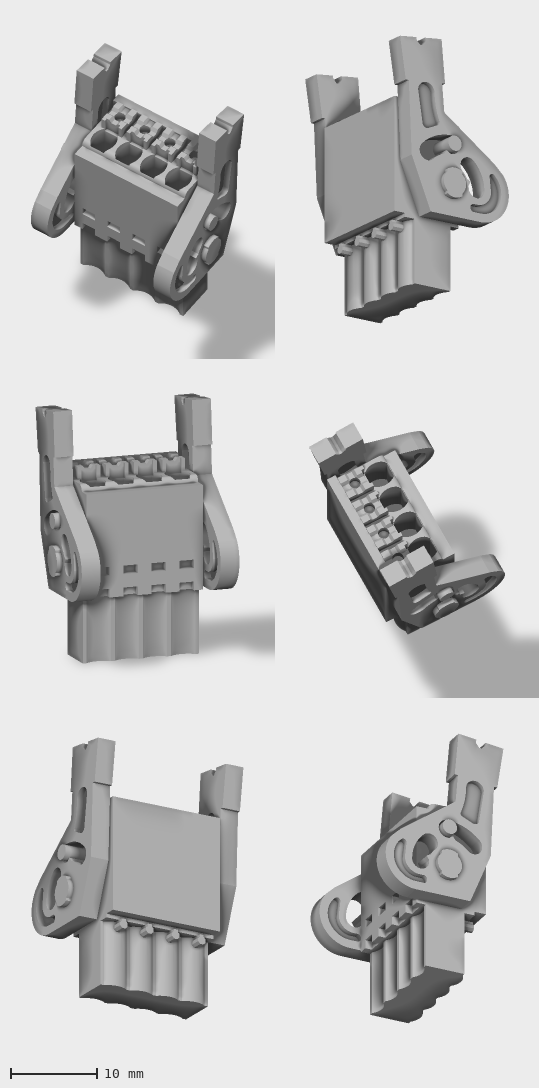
import cadquery as cq
import math


POLE_COUNT = 4
POLE_PITCH = 3.5
POLE_X = [(i - (POLE_COUNT - 1) / 2) * POLE_PITCH for i in range(POLE_COUNT)]

HOUSING_LENGTH = 14.45
HOUSING_FRONT_Y = -2.72
HOUSING_BACK_Y = 6.3
BLOCK_BOTTOM_Z = 7.9
BACK_BOTTOM_Z = 8.37
BACK_BOTTOM_STEP_Y = 4.82
FRONT_LEDGE_Z = 20.4
PLATEAU_Z = 21.2
BACK_WALL_Z = 22.45
BACK_WALL_FACE_Y = 5.18
SHOULDER_Y = -1.2
SHOULDER_RADIUS = PLATEAU_Z - FRONT_LEDGE_Z

PLUG_FRONT_Y = -1.54
PLUG_BACK_Y = 3.47
LOBE_WIDTH = 3.0
LOBE_DEPTH = 0.56

LUG_SIZE = 1.0
LUG_CORNER = 0.3
LUG_CENTER_Z = 7.2
LUG_BACK_Y = 5.47
LUG_STEM_WIDTH = 0.5

WINDOW_WIDTH = 1.8
WINDOW_BOTTOM_Z = 10.52
WINDOW_HEIGHT = 1.05
NOTCH_TOP_Z = 8.95
NOTCH_DEPTH = 0.85
WINDOW_DEPTH = PLUG_FRONT_Y - HOUSING_FRONT_Y

BUTTON_WIDTH = 2.82
BUTTON_OFFSET_X = 0.08
BUTTON_FRONT_Y = 1.88
BUTTON_BACK_Y = BACK_WALL_FACE_Y
BUTTON_BOTTOM_Z = 15.0
BUTTON_TOP_Z = 22.64
CROSS_CENTER_Y = 3.61
CROSS_TOP_WIDTH = 1.26
CROSS_BOTTOM_WIDTH = 0.62
CROSS_DEPTH = 0.4
BUTTON_HOLE_RADIUS = 0.66
BUTTON_HOLE_DEPTH = 1.5
WIRE_HOLE_WIDTH = 2.97
WIRE_HOLE_END_WIDTH = 1.8
WIRE_HOLE_FRONT_Y = -1.03
ENTRY_SLOT_WIDTH = 1.9
ENTRY_SLOT_BACK_Y = 2.28
ENTRY_SLOT_FLOOR_Z = 20.86

PIN_END_X = 10.45
PIVOT_Z = 12.13
PIVOT_RADIUS = 1.57
PIVOT_KEY_RADIUS = 1.83
PIVOT_KEY_WIDTH = 2.06
COLLAR_HEIGHT = 2.86
STOP_PIN_RADIUS = 0.93
STOP_PIN_ORBIT = 4.8

LEVER_BACK_EDGE = [(2.97, 8.2), (5.64, 14.67), (6.05, 23.72), (6.48, 23.72)]
HANDLE_BACK_CORNER = (7.28, 28.92)
HANDLE_NOTCH = [(4.97, 29.18), (4.92, 28.82), (4.47, 28.34), (4.14, 28.34), (3.68, 28.92), (3.78, 29.33)]
HANDLE_FRONT_CORNER = (1.44, 29.59)
LEVER_FRONT_EDGE = [(0.95, 24.22), (1.36, 24.18), (1.06, 20.7)]
LEVER_SLOPE_END = (-6.0, 15.67)
LEVER_INNER_X = 7.44
LEVER_OUTER_X = 9.79
LEVER_THICKNESS = LEVER_OUTER_X - LEVER_INNER_X
RECESS_DEPTH = 0.8
ARM_RECESS_TOP_BACK = (4.74, 22.87)
ARM_RECESS_TOP = (3.58, 23.93)
ARM_RECESS_TOP_FRONT = (2.43, 22.87)
ARM_RECESS_FRONT_BOW = (2.25, 21.1)
ARM_RECESS_FRONT_CORNER = [(1.92, 18.98), (1.72, 19.2), (1.76, 19.5)]
ARM_RECESS_BACK_CORNER = [(4.10, 18.75), (3.75, 18.36), (3.28, 18.37)]
CAM_CENTER_Y = -4.09
CAM_BOTTOM_Z = LEVER_BACK_EDGE[0][1]
CAM_RADIUS = PIVOT_Z - CAM_BOTTOM_Z
CAM_START_Z = 14.55
CAM_RECESS_OUTER_RADIUS = 2.87
CAM_RECESS_INNER_RADIUS = 1.88
CAM_RECESS_INNER_CENTER_Y = -3.64
CAM_RECESS_LOWER_TIP_Y = -2.96
CAM_RECESS_LOWER_END_Y = -2.62
CAM_RECESS_UPPER_TIP_ANGLE = 131.0
CAM_RECESS_UPPER_END = (-5.65, 14.4)
CAM_RECESS_UPPER_INNER = (-5.31, 13.98)
GUIDE_SLOT_SPAN = 45.0
GUIDE_SLOT_HALF_WIDTH = 1.13
SPRING_SLOT_ORBIT = 3.48
SPRING_SLOT_ANGLES = (-90.0, -42.0)
SPRING_SLOT_HALF_WIDTH = 1.1
TOOTH_HEIGHT = 0.4
TOOTH_HALF_BASE = 0.42
TOOTH_DISTANCE = 0.65


def box(x_range, y_range, z_range):
    """Box between the given X, Y and Z limits."""
    corner = (x_range[0], y_range[0], z_range[0])
    lengths = [high - low for low, high in (x_range, y_range, z_range)]
    return cq.Workplane("XY").box(*lengths, centered=False).translate(corner)


def span(center, width):
    """Limits of a stretch of the given width about its centre."""
    return (center - width / 2, center + width / 2)


def around_pivot(radius, angle):
    """(Y, Z) point about the pivot; 0 degrees is straight up and positive angles lean to +Y."""
    turn = math.radians(angle)
    return (radius * math.sin(turn), PIVOT_Z + radius * math.cos(turn))


def on_circle(center, radius, angle):
    """Point on a circle, with the angle in degrees from the first axis."""
    turn = math.radians(angle)
    return (center[0] + radius * math.cos(turn), center[1] + radius * math.sin(turn))


def housing_block():
    """Upper block with the shoulder in front, the plateau and the raised back wall."""
    shoulder_middle = on_circle((SHOULDER_Y + SHOULDER_RADIUS, FRONT_LEDGE_Z), SHOULDER_RADIUS, 135)
    return (
        cq.Workplane("YZ", origin=(-HOUSING_LENGTH / 2, 0, 0))
        .moveTo(HOUSING_FRONT_Y, BLOCK_BOTTOM_Z)
        .lineTo(HOUSING_FRONT_Y, FRONT_LEDGE_Z)
        .lineTo(SHOULDER_Y, FRONT_LEDGE_Z)
        .threePointArc(shoulder_middle, (SHOULDER_Y + SHOULDER_RADIUS, PLATEAU_Z))
        .lineTo(BACK_WALL_FACE_Y, PLATEAU_Z)
        .lineTo(BACK_WALL_FACE_Y, BACK_WALL_Z)
        .lineTo(HOUSING_BACK_Y, BACK_WALL_Z)
        .lineTo(HOUSING_BACK_Y, BACK_BOTTOM_Z)
        .lineTo(BACK_BOTTOM_STEP_Y, BACK_BOTTOM_Z)
        .lineTo(BACK_BOTTOM_STEP_Y, BLOCK_BOTTOM_Z)
        .close()
        .extrude(HOUSING_LENGTH)
    )


def plug_section():
    """Lower section: one hollow in front and one matching lobe at the back for each pole."""
    half_length = HOUSING_LENGTH / 2
    outline = cq.Workplane("XY").moveTo(-half_length, PLUG_FRONT_Y)
    for x in POLE_X:
        outline = outline.lineTo(x - LOBE_WIDTH / 2, PLUG_FRONT_Y).threePointArc(
            (x, PLUG_FRONT_Y + LOBE_DEPTH), (x + LOBE_WIDTH / 2, PLUG_FRONT_Y)
        )
    outline = outline.lineTo(half_length, PLUG_FRONT_Y).lineTo(half_length, PLUG_BACK_Y)
    for x in reversed(POLE_X):
        outline = outline.lineTo(x + LOBE_WIDTH / 2, PLUG_BACK_Y).threePointArc(
            (x, PLUG_BACK_Y + LOBE_DEPTH), (x - LOBE_WIDTH / 2, PLUG_BACK_Y)
        )
    return outline.lineTo(-half_length, PLUG_BACK_Y).close().extrude(BLOCK_BOTTOM_Z)


def coding_lug(x):
    """Bar with chamfered corners along Y, hung from the block by a narrow stem."""
    length_range = (PLUG_BACK_Y, LUG_BACK_Y)
    bar = box(span(x, LUG_SIZE), length_range, span(LUG_CENTER_Z, LUG_SIZE))
    bar = bar.edges("|Y").chamfer(LUG_CORNER)
    stem = box(span(x, LUG_STEM_WIDTH), length_range, (LUG_CENTER_Z, BLOCK_BOTTOM_Z))
    return bar.union(stem)


def front_openings(x):
    """Rectangular window and the shallower notch below it in the front face."""
    window_depth_range = (HOUSING_FRONT_Y, HOUSING_FRONT_Y + WINDOW_DEPTH)
    notch_depth_range = (HOUSING_FRONT_Y, HOUSING_FRONT_Y + NOTCH_DEPTH)
    window_top = WINDOW_BOTTOM_Z + WINDOW_HEIGHT
    window = box(span(x, WINDOW_WIDTH), window_depth_range, (WINDOW_BOTTOM_Z, window_top))
    notch = box(span(x, WINDOW_WIDTH), notch_depth_range, (BLOCK_BOTTOM_Z, NOTCH_TOP_Z))
    return window.union(notch)


def button_block(x):
    """Plain button block, which is also the shape of its pocket in the housing."""
    center_x = x + BUTTON_OFFSET_X
    return box(
        span(center_x, BUTTON_WIDTH), (BUTTON_FRONT_Y, BUTTON_BACK_Y), (BUTTON_BOTTOM_Z, BUTTON_TOP_Z)
    )


def entry_slot(x):
    """Slot along Y, from inside the button front out through the shoulder of the housing."""
    return box(
        span(x + BUTTON_OFFSET_X, ENTRY_SLOT_WIDTH),
        (HOUSING_FRONT_Y, ENTRY_SLOT_BACK_Y),
        (ENTRY_SLOT_FLOOR_Z, BUTTON_TOP_Z),
    )


def wire_hole(x):
    """Barrel-shaped hole: bowed sides, flat in front and open to the button pocket at its back."""
    middle_y = (WIRE_HOLE_FRONT_Y + BUTTON_FRONT_Y) / 2
    half_width = WIRE_HOLE_WIDTH / 2
    half_end = WIRE_HOLE_END_WIDTH / 2
    return (
        cq.Workplane("XY", origin=(x, 0, BUTTON_BOTTOM_Z))
        .moveTo(-half_end, WIRE_HOLE_FRONT_Y)
        .lineTo(half_end, WIRE_HOLE_FRONT_Y)
        .threePointArc((half_width, middle_y), (half_end, BUTTON_FRONT_Y))
        .lineTo(-half_end, BUTTON_FRONT_Y)
        .threePointArc((-half_width, middle_y), (-half_end, WIRE_HOLE_FRONT_Y))
        .close()
        .extrude(PLATEAU_Z - BUTTON_BOTTOM_Z)
    )


def pivot_profile(start_x, length):
    """Pivot shape: a round shaft with wider keys above and below."""
    plane = cq.Workplane("YZ", origin=(start_x, 0, PIVOT_Z))
    shaft = plane.circle(PIVOT_RADIUS).extrude(length)
    key = plane.circle(PIVOT_KEY_RADIUS).extrude(length)
    key_limits = plane.rect(PIVOT_KEY_WIDTH, 2 * PIVOT_KEY_RADIUS).extrude(length)
    return shaft.union(key.intersect(key_limits))


def end_pins():
    """Collar, keyed pivot and stop pin on the +X end of the housing."""
    housing_end = HOUSING_LENGTH / 2
    collar_length = LEVER_INNER_X - housing_end
    pin_length = PIN_END_X - housing_end
    plane = cq.Workplane("YZ", origin=(housing_end, 0, PIVOT_Z))
    collar = plane.circle(PIVOT_RADIUS).extrude(collar_length)
    collar_flats = plane.rect(2 * PIVOT_RADIUS, COLLAR_HEIGHT).extrude(collar_length)
    pivot = pivot_profile(LEVER_INNER_X, PIN_END_X - LEVER_INNER_X)
    stop_pin = plane.center(0, STOP_PIN_ORBIT).circle(STOP_PIN_RADIUS).extrude(pin_length)
    return collar.intersect(collar_flats), pivot, stop_pin


def make_housing():
    housing = housing_block().union(plug_section())
    for x in POLE_X:
        housing = housing.union(coding_lug(x))
        housing = housing.cut(front_openings(x)).cut(button_block(x))
        housing = housing.cut(entry_slot(x)).cut(wire_hole(x))
    for pin in end_pins():
        housing = housing.union(pin).union(pin.mirror("YZ"))
    return housing


def cross_groove(plane_name, origin, length):
    """Trapezoidal groove in the button top, running along the normal of the named plane."""
    return (
        cq.Workplane(plane_name, origin=origin)
        .moveTo(-CROSS_TOP_WIDTH / 2, 0)
        .lineTo(-CROSS_BOTTOM_WIDTH / 2, -CROSS_DEPTH)
        .lineTo(CROSS_BOTTOM_WIDTH / 2, -CROSS_DEPTH)
        .lineTo(CROSS_TOP_WIDTH / 2, 0)
        .close()
        .extrude(length, both=True)
    )


def make_button(x):
    center_x = x + BUTTON_OFFSET_X
    cross_center = (center_x, CROSS_CENTER_Y, BUTTON_TOP_Z)
    groove_reach = BUTTON_BACK_Y - BUTTON_FRONT_Y
    hole = cq.Workplane("XY", origin=cross_center).circle(BUTTON_HOLE_RADIUS).extrude(-BUTTON_HOLE_DEPTH)
    return (
        button_block(x)
        .cut(cross_groove("XZ", cross_center, groove_reach))
        .cut(cross_groove("YZ", cross_center, groove_reach))
        .cut(hole)
        .cut(entry_slot(x))
    )


def lever_plate():
    """Lever blank: notched handle on top and a round cam at the front."""
    cam_rise = CAM_START_Z - PIVOT_Z
    cam_start_y = CAM_CENTER_Y - math.sqrt(CAM_RADIUS**2 - cam_rise**2)
    handle = [HANDLE_BACK_CORNER, *HANDLE_NOTCH, HANDLE_FRONT_CORNER]
    outline = [*LEVER_BACK_EDGE, *handle, *LEVER_FRONT_EDGE, LEVER_SLOPE_END]
    return (
        cq.Workplane("YZ", origin=(LEVER_INNER_X, 0, 0))
        .polyline(outline)
        .lineTo(cam_start_y, CAM_START_Z)
        .threePointArc((CAM_CENTER_Y - CAM_RADIUS, PIVOT_Z), (CAM_CENTER_Y, CAM_BOTTOM_Z))
        .close()
        .extrude(LEVER_THICKNESS)
    )


def detent_slot(orbit, half_width, start_angle, end_angle, tooth_angle):
    """Through slot curved about the pivot, with a pointed detent tooth on its inner side."""
    plane = cq.Workplane("YZ", origin=(LEVER_INNER_X, 0, 0))
    middle_angle = (start_angle + end_angle) / 2
    inner = orbit - half_width
    outer = orbit + half_width
    slot = (
        plane.moveTo(*around_pivot(inner, start_angle))
        .threePointArc(around_pivot(inner, middle_angle), around_pivot(inner, end_angle))
        .threePointArc(
            on_circle(around_pivot(orbit, end_angle), half_width, -end_angle),
            around_pivot(outer, end_angle),
        )
        .threePointArc(around_pivot(outer, middle_angle), around_pivot(outer, start_angle))
        .threePointArc(
            on_circle(around_pivot(orbit, start_angle), half_width, 180 - start_angle),
            around_pivot(inner, start_angle),
        )
        .close()
        .extrude(LEVER_THICKNESS)
    )
    half_base_angle = math.degrees(TOOTH_HALF_BASE / inner)
    tooth_root = inner - TOOTH_HEIGHT
    tooth = (
        plane.moveTo(*around_pivot(tooth_root, tooth_angle))
        .lineTo(*around_pivot(inner, tooth_angle - half_base_angle))
        .lineTo(*around_pivot(inner + TOOTH_HEIGHT, tooth_angle))
        .lineTo(*around_pivot(inner, tooth_angle + half_base_angle))
        .close()
        .extrude(LEVER_THICKNESS)
    )
    return slot.cut(tooth)


def guide_slot():
    """Slot that the stop pin runs in, with its tooth next to the pin."""
    inner = STOP_PIN_ORBIT - GUIDE_SLOT_HALF_WIDTH
    tooth_angle = math.degrees(TOOTH_DISTANCE / inner)
    return detent_slot(STOP_PIN_ORBIT, GUIDE_SLOT_HALF_WIDTH, 0, GUIDE_SLOT_SPAN, tooth_angle)


def spring_slot():
    """Slot between the pivot and the cam, with its tooth near the lower end."""
    inner = SPRING_SLOT_ORBIT - SPRING_SLOT_HALF_WIDTH
    start_angle, end_angle = SPRING_SLOT_ANGLES
    tooth_angle = start_angle + math.degrees(TOOTH_DISTANCE / inner)
    return detent_slot(SPRING_SLOT_ORBIT, SPRING_SLOT_HALF_WIDTH, start_angle, end_angle, tooth_angle)


def arm_recess(start_x):
    """Long recess below the handle, round at the top."""
    return (
        cq.Workplane("YZ", origin=(start_x, 0, 0))
        .moveTo(*ARM_RECESS_TOP_BACK)
        .lineTo(*ARM_RECESS_BACK_CORNER[0])
        .threePointArc(*ARM_RECESS_BACK_CORNER[1:])
        .lineTo(*ARM_RECESS_FRONT_CORNER[0])
        .threePointArc(*ARM_RECESS_FRONT_CORNER[1:])
        .threePointArc(ARM_RECESS_FRONT_BOW, ARM_RECESS_TOP_FRONT)
        .threePointArc(ARM_RECESS_TOP, ARM_RECESS_TOP_BACK)
        .close()
        .extrude(RECESS_DEPTH)
    )


def cam_recess(start_x):
    """Crescent recess along the cam, with rounded tips."""
    outer_bottom_z = PIVOT_Z - CAM_RECESS_OUTER_RADIUS
    inner_bottom_z = PIVOT_Z - CAM_RECESS_INNER_RADIUS
    outer_side_y = CAM_CENTER_Y - CAM_RECESS_OUTER_RADIUS
    inner_side_y = CAM_RECESS_INNER_CENTER_Y - CAM_RECESS_INNER_RADIUS
    inner_middle = on_circle((CAM_RECESS_INNER_CENTER_Y, PIVOT_Z), CAM_RECESS_INNER_RADIUS, 225)
    lower_end = (CAM_RECESS_LOWER_END_Y, (outer_bottom_z + inner_bottom_z) / 2)
    upper_tip = on_circle((CAM_CENTER_Y, PIVOT_Z), CAM_RECESS_OUTER_RADIUS, CAM_RECESS_UPPER_TIP_ANGLE)
    return (
        cq.Workplane("YZ", origin=(start_x, 0, 0))
        .moveTo(*upper_tip)
        .threePointArc((outer_side_y, PIVOT_Z), (CAM_CENTER_Y, outer_bottom_z))
        .lineTo(CAM_RECESS_LOWER_TIP_Y, outer_bottom_z)
        .threePointArc(lower_end, (CAM_RECESS_LOWER_TIP_Y, inner_bottom_z))
        .lineTo(CAM_RECESS_INNER_CENTER_Y, inner_bottom_z)
        .threePointArc(inner_middle, (inner_side_y, PIVOT_Z))
        .lineTo(*CAM_RECESS_UPPER_INNER)
        .threePointArc(CAM_RECESS_UPPER_END, upper_tip)
        .close()
        .extrude(RECESS_DEPTH)
    )


def make_lever():
    """Lever on the +X end of the housing."""
    lever = lever_plate().cut(guide_slot()).cut(spring_slot())
    lever = lever.cut(pivot_profile(LEVER_INNER_X, LEVER_THICKNESS))
    for start_x in (LEVER_INNER_X, LEVER_OUTER_X - RECESS_DEPTH):
        lever = lever.cut(arm_recess(start_x)).cut(cam_recess(start_x))
    return lever


housing = make_housing()
buttons = [make_button(x) for x in POLE_X]
right_lever = make_lever()
left_lever = right_lever.mirror("YZ")

bodies = [housing, *buttons, right_lever, left_lever]
result = cq.Compound.makeCompound([body.solids().val() for body in bodies])